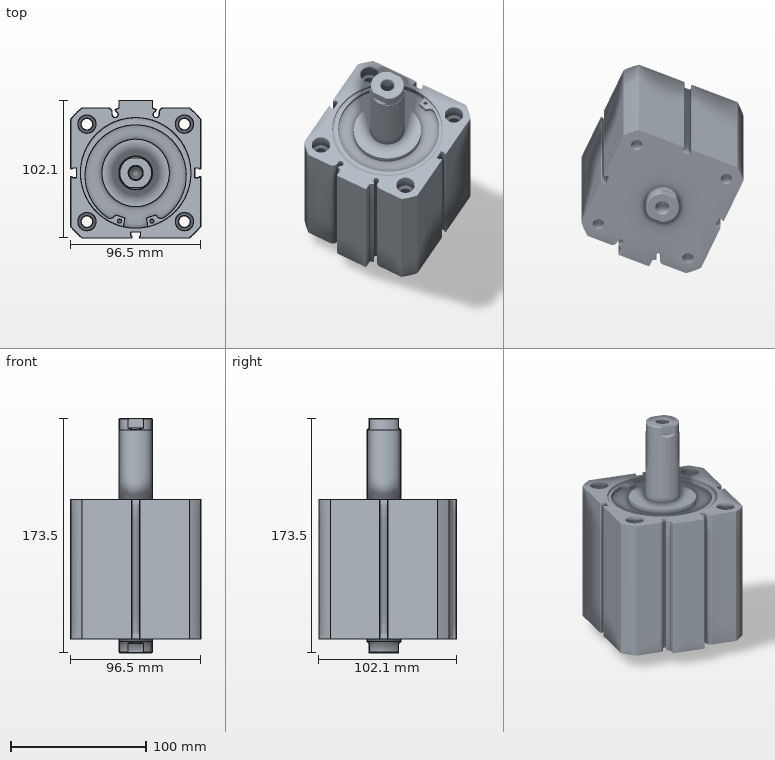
import cadquery as cq
import math


HOUSING_WIDTH = 96.5
HALF_WIDTH = HOUSING_WIDTH / 2
HOUSING_HEIGHT = 103.5
CORNER_RADIUS = 62.5

RAIL_HALF_WIDTH = 12.5
RAIL_TOP = 53.8
RAIL_EDGE_BREAK = 0.3
RAIL_FOOT = 48.0
BARB_TIP = (15.3, 46.8)
GROOVE_CENTER = (15.18, 43.2)
GROOVE_RADIUS = 2.17
GROOVE_MOUTH_ANGLE = 106.0
SHOULDER_RADIUS = 3.6

SLOT_HALF_WIDTH = 3.5
SLOT_DEPTH = 4.3
LIP_HEIGHT = 0.7
LIP_DEPTH = 1.0
LIP_CHAMFER = 0.3
SLOT_DIRECTIONS = (0, 180, 270)

MOUNT_SPACING = 72.2
MOUNT_HOLE_DIAMETER = 8.5
COUNTERBORE_DIAMETER = 13.5
COUNTERBORE_DEPTH = 10.4

BORE_RADIUS = 41.0
RING_RECESS = 1.9
RING_THICKNESS = 2.8
RING_INNER_RADIUS = 37.5
RING_INNER_OFFSET = 1.9
RING_ARC_END_X = 21.7
LUG_FILLET_MIDDLE = (18.9, -33.7)
LUG_FILLET_END = (16.8, -33.1)
LUG_SHOULDER = (14.7, -31.2)
LUG_TIP = (8.0, -33.3)
LUG_FOOT_X = 9.0
LUG_HOLE_CENTER = (12.0, -35.7)
LUG_HOLE_DIAMETER = 3.0

COVER_THICKNESS = 17.4
BOSS_RADIUS = 25.0
BOSS_HEIGHT = 4.2

ROD_LENGTH = 173.5
ROD_RADIUS = 12.5
ROD_OVERHANG = 10.0
ROD_END_CHAMFER = 0.5
ROD_END_RADIUS = 12.3
ROD_END_LENGTH = 8.5
FLAT_LENGTH = 7.0
FLAT_HALF_WIDTH = 11.0
TAP_RADIUS = 5.0
TAP_DEPTH = 15.6
TAP_CHAMFER = 0.5
DRILL_POINT_ANGLE = 118.0

RING_TOP = HOUSING_HEIGHT - RING_RECESS
COVER_TOP = RING_TOP - RING_THICKNESS
COVER_BOTTOM = COVER_TOP - COVER_THICKNESS
ROD_BOTTOM = -ROD_OVERHANG
ROD_TOP = ROD_BOTTOM + ROD_LENGTH
ROD_MIDDLE = ROD_BOTTOM + ROD_LENGTH / 2


def mirrored(point):
    return (-point[0], point[1])


def cylinder(radius, bottom, top):
    return cq.Workplane("XY").workplane(offset=bottom).circle(radius).extrude(top - bottom)


def on_circle(center, radius, angle):
    turn = math.radians(angle)
    return (center[0] + radius * math.cos(turn), center[1] + radius * math.sin(turn))


def make_rail_block():
    """Square prism with the rail and its two side grooves along +Y."""
    mouth = on_circle(GROOVE_CENTER, GROOVE_RADIUS, GROOVE_MOUTH_ANGLE)
    groove_bottom = on_circle(GROOVE_CENTER, GROOVE_RADIUS, 270)
    wall_foot = on_circle(GROOVE_CENTER, GROOVE_RADIUS, 0)
    shoulder_center = (wall_foot[0] + SHOULDER_RADIUS, HALF_WIDTH - SHOULDER_RADIUS)
    shoulder_start = on_circle(shoulder_center, SHOULDER_RADIUS, 180)
    shoulder_middle = on_circle(shoulder_center, SHOULDER_RADIUS, 135)
    shoulder_end = on_circle(shoulder_center, SHOULDER_RADIUS, 90)
    rail_side_top = (RAIL_HALF_WIDTH, RAIL_TOP - RAIL_EDGE_BREAK)
    rail_top_edge = (RAIL_HALF_WIDTH - RAIL_EDGE_BREAK, RAIL_TOP)
    rail_foot = (RAIL_HALF_WIDTH, RAIL_FOOT)
    return (
        cq.Workplane("XY")
        .moveTo(*mirrored(rail_top_edge))
        .lineTo(*rail_top_edge)
        .lineTo(*rail_side_top)
        .lineTo(*rail_foot)
        .lineTo(*BARB_TIP)
        .lineTo(*mouth)
        .threePointArc(groove_bottom, wall_foot)
        .lineTo(*shoulder_start)
        .threePointArc(shoulder_middle, shoulder_end)
        .lineTo(HALF_WIDTH, HALF_WIDTH)
        .lineTo(HALF_WIDTH, -HALF_WIDTH)
        .lineTo(-HALF_WIDTH, -HALF_WIDTH)
        .lineTo(-HALF_WIDTH, HALF_WIDTH)
        .lineTo(*mirrored(shoulder_end))
        .threePointArc(mirrored(shoulder_middle), mirrored(shoulder_start))
        .lineTo(*mirrored(wall_foot))
        .threePointArc(mirrored(groove_bottom), mirrored(mouth))
        .lineTo(*mirrored(BARB_TIP))
        .lineTo(*mirrored(rail_foot))
        .lineTo(*mirrored(rail_side_top))
        .close()
        .extrude(HOUSING_HEIGHT)
    )


def make_slot_cutter(direction):
    """Sensor slot with a mouth narrowed by sloped lips, cut into the side facing the given direction."""
    throat = SLOT_HALF_WIDTH - LIP_HEIGHT
    lip_start = HALF_WIDTH - LIP_CHAMFER
    lip_end = HALF_WIDTH - LIP_DEPTH
    floor = HALF_WIDTH - SLOT_DEPTH
    half_outline = [
        (HALF_WIDTH, throat + LIP_CHAMFER),
        (lip_start, throat),
        (lip_end, throat),
        (lip_end - LIP_HEIGHT, SLOT_HALF_WIDTH),
        (floor, SLOT_HALF_WIDTH),
    ]
    other_half = [(x, -y) for x, y in reversed(half_outline)]
    slot = cq.Workplane("XY").polyline(half_outline + other_half).close().extrude(HOUSING_HEIGHT)
    return slot.rotate((0, 0, 0), (0, 0, 1), direction)


def make_housing():
    housing = make_rail_block().intersect(cylinder(CORNER_RADIUS, 0, HOUSING_HEIGHT))
    for direction in SLOT_DIRECTIONS:
        housing = housing.cut(make_slot_cutter(direction))
    housing = (
        housing.faces(">Z").workplane(origin=(0, 0, HOUSING_HEIGHT))
        .rect(MOUNT_SPACING, MOUNT_SPACING, forConstruction=True).vertices()
        .cboreHole(MOUNT_HOLE_DIAMETER, COUNTERBORE_DIAMETER, COUNTERBORE_DEPTH)
    )
    cover_recess = cylinder(BORE_RADIUS, COVER_BOTTOM, HOUSING_HEIGHT)
    rod_hole = cylinder(ROD_RADIUS, 0, HOUSING_HEIGHT)
    return housing.cut(cover_recess).cut(rod_hole)


def make_cover():
    disc = cylinder(BORE_RADIUS, COVER_BOTTOM, COVER_TOP)
    boss = cylinder(BOSS_RADIUS, COVER_TOP, COVER_TOP + BOSS_HEIGHT)
    rod_hole = cylinder(ROD_RADIUS, COVER_BOTTOM, HOUSING_HEIGHT)
    return disc.union(boss).cut(rod_hole)


def make_retaining_ring():
    """Open ring, widest opposite its gap, with a drilled lug at each end."""
    lug_foot = (LUG_FOOT_X, -math.sqrt(BORE_RADIUS**2 - LUG_FOOT_X**2))
    arc_drop = math.sqrt(RING_INNER_RADIUS**2 - RING_ARC_END_X**2)
    arc_end = (RING_ARC_END_X, -RING_INNER_OFFSET - arc_drop)
    return (
        cq.Workplane("XY").workplane(offset=COVER_TOP)
        .moveTo(*lug_foot)
        .threePointArc((0, BORE_RADIUS), mirrored(lug_foot))
        .lineTo(*mirrored(LUG_TIP))
        .lineTo(*mirrored(LUG_SHOULDER))
        .lineTo(*mirrored(LUG_FILLET_END))
        .threePointArc(mirrored(LUG_FILLET_MIDDLE), mirrored(arc_end))
        .threePointArc((0, RING_INNER_RADIUS - RING_INNER_OFFSET), arc_end)
        .threePointArc(LUG_FILLET_MIDDLE, LUG_FILLET_END)
        .lineTo(*LUG_SHOULDER)
        .lineTo(*LUG_TIP)
        .close()
        .pushPoints([LUG_HOLE_CENTER, mirrored(LUG_HOLE_CENTER)])
        .circle(LUG_HOLE_DIAMETER / 2)
        .extrude(RING_THICKNESS)
    )


def make_flat_cutters():
    """Two wrench flats at the top rod end, each running out on a 45 degree slope."""
    flat_bottom = ROD_TOP - FLAT_LENGTH
    runout = ROD_RADIUS - FLAT_HALF_WIDTH
    flat = (
        cq.Workplane("YZ")
        .polyline([
            (FLAT_HALF_WIDTH, ROD_TOP),
            (FLAT_HALF_WIDTH, flat_bottom),
            (ROD_RADIUS, flat_bottom - runout),
            (ROD_RADIUS, ROD_TOP),
        ])
        .close()
        .extrude(ROD_RADIUS, both=True)
    )
    return flat.union(flat.mirror("XZ"))


def make_tap_cutter():
    """Blind hole in the top rod end with a chamfered mouth and a drill point."""
    hole_bottom = ROD_TOP - TAP_DEPTH
    point_depth = TAP_RADIUS / math.tan(math.radians(DRILL_POINT_ANGLE / 2))
    return (
        cq.Workplane("XZ")
        .polyline([
            (0, ROD_TOP),
            (TAP_RADIUS + TAP_CHAMFER, ROD_TOP),
            (TAP_RADIUS, ROD_TOP - TAP_CHAMFER),
            (TAP_RADIUS, hole_bottom),
            (0, hole_bottom - point_depth),
        ])
        .close()
        .revolve(360, (0, 0, 0), (0, 1, 0))
    )


def make_rod():
    """Rod with the same flats and tapped hole at both ends."""
    shank = cylinder(ROD_RADIUS, ROD_BOTTOM + ROD_END_LENGTH, ROD_TOP - ROD_END_LENGTH)
    rod = cylinder(ROD_END_RADIUS, ROD_BOTTOM, ROD_TOP).union(shank)
    rod = rod.faces("<Z or >Z").chamfer(ROD_END_CHAMFER)
    end_cutter = make_flat_cutters().union(make_tap_cutter())
    opposite_end_cutter = end_cutter.mirror("XY", (0, 0, ROD_MIDDLE))
    return rod.cut(end_cutter).cut(opposite_end_cutter)


housing = make_housing()
cover = make_cover()
retaining_ring = make_retaining_ring()
rod = make_rod()

result = cq.Compound.makeCompound([
    housing.val(),
    cover.val(),
    retaining_ring.val(),
    rod.val(),
])